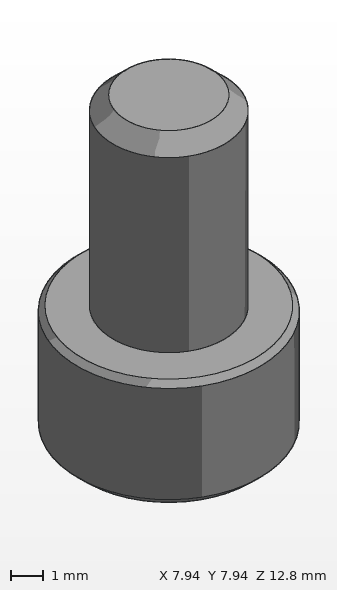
import cadquery as cq

total_length = 12.78
head_diameter = 7.94
head_height = 4.82
shank_diameter = 4.83

shank_tip_chamfer = 0.59
head_shoulder_chamfer = 0.2
head_base_chamfer = 0.41


def make_head():
    """Cylindrical head standing on the XY plane, with both rims chamfered."""
    head = cq.Workplane("XY").circle(head_diameter / 2).extrude(head_height)
    head = head.faces("<Z").chamfer(head_base_chamfer)
    return head.faces(">Z").chamfer(head_shoulder_chamfer)


def make_shank():
    """Plain shank rising from the head, with a chamfered tip."""
    shank_length = total_length - head_height
    shank = (
        cq.Workplane("XY", origin=(0, 0, head_height))
        .circle(shank_diameter / 2)
        .extrude(shank_length)
    )
    return shank.faces(">Z").chamfer(shank_tip_chamfer)


result = make_head().union(make_shank())